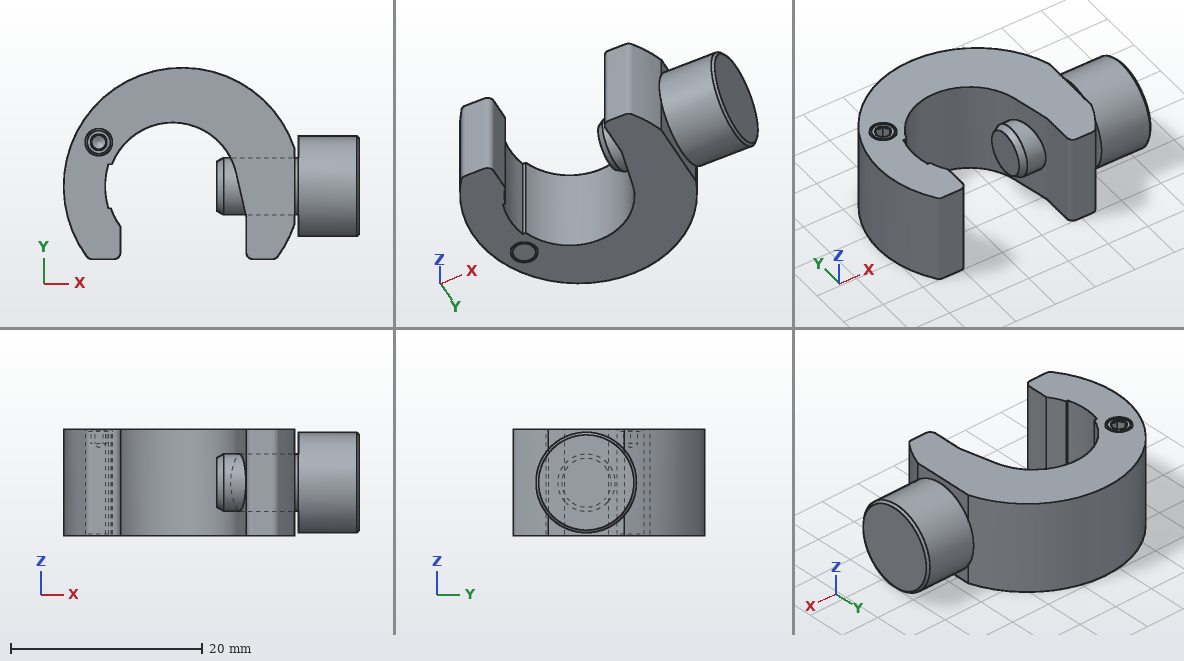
import cadquery as cq
import math


thickness = 11.2
outer_radius = 12.43
flat_x = 11.78
jaw_end_y = -7.65
jaw_fillet = 0.75
bore_radius = 6.82
bore_x = -1.0
bore_y = -0.15
relief_radius = 8.05
relief_half_width = 2.3
left_wall_x = -6.45
right_wall_x = 6.7
ramp_end_y = -3.15

shank_radius = 3.0
tip_x = 3.6
tip_length = 0.75
tip_chamfer = 0.43
head_radius = 5.27
head_x = 12.18
head_end_x = 18.55
head_chamfer = 0.28

set_screw_x = -8.75
set_screw_y = 4.62
set_screw_radius = 1.43
set_screw_chamfer = 0.22
socket_sides = 6
socket_flats = 1.5
socket_depth = 1.5
socket_corner_diameter = socket_flats / math.cos(math.pi / socket_sides)
socket_cone_height = 0.43
socket_lead_in = 0.15


def outer_x_at(y):
    """X of the outer circle at a given y, on its right side."""
    return math.sqrt(outer_radius**2 - y**2)


def bore_left_x_at(y):
    """X of the bore circle at a given y, on its left side."""
    return bore_x - math.sqrt(bore_radius**2 - (y - bore_y) ** 2)


def bore_tangent_point(x, y):
    """Point on the right of the bore where a line from (x, y) touches it."""
    distance = math.hypot(x - bore_x, y - bore_y)
    angle = math.atan2(y - bore_y, x - bore_x) + math.acos(bore_radius / distance)
    return bore_x + bore_radius * math.cos(angle), bore_y + bore_radius * math.sin(angle)


def x_axis_cylinder(radius, start_x, end_x):
    """Cylinder on the clamp screw's axis."""
    return cq.Workplane("YZ", origin=(start_x, 0, 0)).circle(radius).extrude(end_x - start_x)


def set_screw_cylinder():
    """Full-thickness cylinder that fills the set screw's hole."""
    return (
        cq.Workplane("XY", origin=(set_screw_x, set_screw_y, -thickness / 2))
        .circle(set_screw_radius)
        .extrude(thickness)
    )


def make_clamp():
    outer_end_x = outer_x_at(jaw_end_y)
    flat_half_width = math.sqrt(outer_radius**2 - flat_x**2)
    outer_arc_y = (jaw_end_y - flat_half_width) / 2
    relief_x = -math.sqrt(relief_radius**2 - relief_half_width**2)
    left_wall_y = bore_y - math.sqrt(bore_radius**2 - (left_wall_x - bore_x) ** 2)
    lower_arc_y = (left_wall_y - relief_half_width) / 2

    clamp = (
        cq.Workplane("XY", origin=(0, 0, -thickness / 2))
        .moveTo(-outer_end_x, jaw_end_y)
        .threePointArc((0, outer_radius), (flat_x, flat_half_width))
        .lineTo(flat_x, -flat_half_width)
        .threePointArc((outer_x_at(outer_arc_y), outer_arc_y), (outer_end_x, jaw_end_y))
        .lineTo(right_wall_x, jaw_end_y)
        .lineTo(right_wall_x, ramp_end_y)
        .lineTo(*bore_tangent_point(right_wall_x, ramp_end_y))
        .threePointArc(
            (bore_x, bore_y + bore_radius),
            (bore_left_x_at(relief_half_width), relief_half_width),
        )
        .lineTo(relief_x, relief_half_width)
        .threePointArc((-relief_radius, 0), (relief_x, -relief_half_width))
        .lineTo(bore_left_x_at(-relief_half_width), -relief_half_width)
        .threePointArc((bore_left_x_at(lower_arc_y), lower_arc_y), (left_wall_x, left_wall_y))
        .lineTo(left_wall_x, jaw_end_y)
        .close()
        .extrude(thickness)
    )
    clamp = clamp.edges("|Z").edges("<Y").fillet(jaw_fillet)

    clamp = clamp.cut(x_axis_cylinder(shank_radius, 0, flat_x))
    return clamp.cut(set_screw_cylinder())


def make_clamp_screw():
    shank = (
        x_axis_cylinder(shank_radius, tip_x, head_x)
        .faces("<X")
        .chamfer(tip_length, tip_chamfer)
    )
    head = x_axis_cylinder(head_radius, head_x, head_end_x).faces(">X").chamfer(head_chamfer)
    return shank.union(head)


def make_set_screw():
    screw = set_screw_cylinder().faces("|Z").chamfer(set_screw_chamfer)
    socket = (
        cq.Workplane("XY", origin=(set_screw_x, set_screw_y, thickness / 2))
        .polygon(socket_sides, socket_corner_diameter)
        .extrude(-socket_depth)
    )
    corner_radius = socket_corner_diameter / 2
    flat_radius = socket_flats / 2
    rim = cq.Vector(set_screw_x, set_screw_y, thickness / 2)
    floor = rim - cq.Vector(0, 0, socket_depth)
    down = cq.Vector(0, 0, -1)
    lead_in = cq.Solid.makeCone(corner_radius, flat_radius, socket_lead_in, rim, down)
    floor_cone = cq.Solid.makeCone(flat_radius, 0, socket_cone_height, floor, down)
    return screw.cut(socket).cut(cq.Workplane(lead_in)).cut(cq.Workplane(floor_cone))


clamp = make_clamp()
clamp_screw = make_clamp_screw()
set_screw = make_set_screw()

result = cq.Compound.makeCompound([clamp.val(), clamp_screw.val(), set_screw.val()])